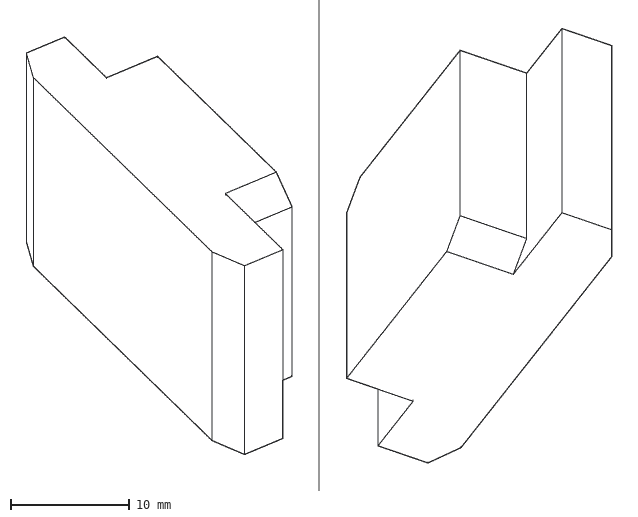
import cadquery as cq
import math

width = 22.0
height = 32.0
depth = 16.0
slant = math.radians(35)
side_height = height - width * math.tan(slant)

flange_depth = 8.0
flange_chamfer = 2.0
stem_width = 13.57
corner_run = 1.6
corner_drop = 1.7


def slanted_z(x):
    """Height of the sloping centre line at x."""
    return -x * math.tan(slant)


half_width = width / 2
chamfer_x = half_width - flange_chamfer


def slanted_prism(profile):
    """Extrude an XY profile upright, then trim it between the two sloping faces."""
    blank = cq.Workplane("XY").workplane(offset=-height / 2).polyline(profile).close().extrude(height)
    band = (
        cq.Workplane("XZ")
        .polyline([
            (-half_width, slanted_z(-half_width) - side_height / 2),
            (half_width, slanted_z(half_width) - side_height / 2),
            (half_width, slanted_z(half_width) + side_height / 2),
            (-half_width, slanted_z(-half_width) + side_height / 2),
        ])
        .close()
        .extrude(-depth)
    )
    return blank.intersect(band)


flange = slanted_prism([
    (-chamfer_x, 0),
    (chamfer_x, 0),
    (half_width, flange_chamfer),
    (half_width, flange_depth),
    (-half_width, flange_depth),
    (-half_width, flange_chamfer),
])

half_stem = stem_width / 2
cut_x = half_stem - corner_run
half_side = side_height / 2
upper_right_half = [
    (half_stem, slanted_z(half_stem) - half_side),
    (half_stem, slanted_z(half_stem) + half_side - corner_drop),
    (cut_x, slanted_z(cut_x) + half_side),
]
lower_left_half = [(-x, -z) for x, z in upper_right_half]
stem = (
    cq.Workplane("XZ", origin=(0, flange_depth, 0))
    .polyline(upper_right_half + lower_left_half)
    .close()
    .extrude(flange_depth - depth)
)

result = flange.union(stem)